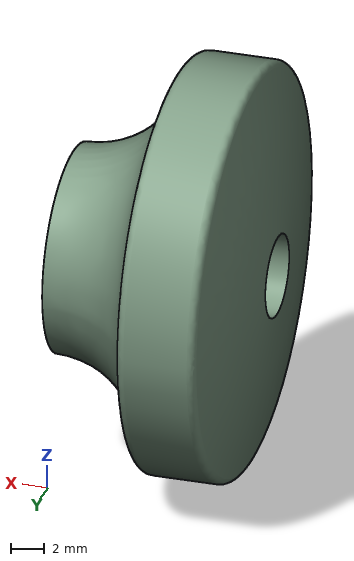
import cadquery as cq
import math

outer_radius = 12.7
knob_length = 12.7
neck_radius = outer_radius / 2
bore_radius = 2.55
dome_rim_depth = 1.57
rim_fillet = 0.5

sweep_radius = outer_radius - neck_radius
rim_back = knob_length - sweep_radius
sweep_mid_x = knob_length - sweep_radius * math.cos(math.pi / 4)
sweep_mid_radius = outer_radius - sweep_radius * math.sin(math.pi / 4)

dome_radius = (outer_radius**2 + dome_rim_depth**2) / (2 * dome_rim_depth)


def dome_depth(radius):
    """Axial distance from the apex to the dome at a given radius."""
    return dome_radius - math.sqrt(dome_radius**2 - radius**2)


def make_body():
    """Revolve the dome, rim, flared neck and bore as one ring."""
    dome_mid_radius = (bore_radius + outer_radius) / 2
    profile = (
        cq.Workplane("XY")
        .moveTo(dome_depth(bore_radius), bore_radius)
        .threePointArc((dome_depth(dome_mid_radius), dome_mid_radius), (dome_rim_depth, outer_radius))
        .lineTo(rim_back, outer_radius)
        .threePointArc((sweep_mid_x, sweep_mid_radius), (knob_length, neck_radius))
        .lineTo(knob_length, bore_radius)
        .close()
    )
    return profile.revolve(360, (0, 0, 0), (1, 0, 0))


def round_rim(body):
    """Round the front and back edges of the rim."""
    rim_box = cq.selectors.BoxSelector(
        (dome_rim_depth - rim_fillet, -2 * outer_radius, -2 * outer_radius),
        (rim_back + rim_fillet, 2 * outer_radius, 2 * outer_radius),
        boundingbox=True,
    )
    return body.edges("%CIRCLE").edges(rim_box).fillet(rim_fillet)


result = round_rim(make_body())